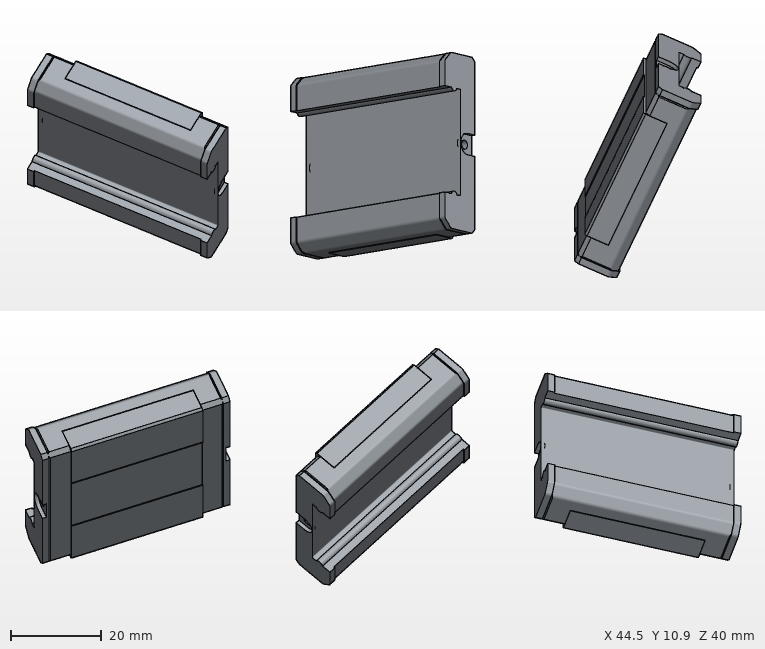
import cadquery as cq

length = 44.5
depth = 10.9
height = 40.0

plate_length = 31.05
plate_wrap = 5.75
plate_side = 0.2
plate_back = 0.6
plate_corner = 0.55
plate_relief_width = 15.58
plate_relief_depth = 0.22

section_depth = depth - plate_back
section_half = height / 2 - plate_side
front_bevel = 2.1
front_round = 1.0
back_bevel = 1.0

channel_half = 11.95
channel_depth = 5.35
channel_corner = 0.22
bead_radius = 1.02
bead_height = 0.65
bead_y = 3.2

cap_length = 1.6
body_length = length - 2 * cap_length
body_setback = 0.3
end_bevel = 0.3

pocket_radius = 2.4
pocket_depth = 0.95
pocket_wall = 0.1
hole_diameter = 2.0
hole_depth = 4.45
hole_y = channel_depth + pocket_wall + pocket_radius


def block(x_length, front, back, z_height):
    """Block centred on X and Z, spanning front to back along Y."""
    middle = (0, (front + back) / 2, 0)
    return cq.Workplane("XY").box(x_length, back - front, z_height).translate(middle)


def section_block(x_length, front):
    """Solid outside of the section: bevelled and rounded in front, bevelled at the back."""
    solid = block(x_length, front, section_depth, 2 * section_half)
    solid = solid.faces("<Y").edges("|X").chamfer(front_bevel)
    solid = solid.faces(">Y").edges("|X").chamfer(back_bevel)
    for side in (-1, 1):
        front_edge = (0, front, side * (section_half - front_bevel))
        outer_edge = (0, front + front_bevel, side * section_half)
        for place in (front_edge, outer_edge):
            solid = solid.edges(cq.selectors.NearestToPointSelector(place)).fillet(front_round)
    return solid


def make_body():
    """Middle section between the caps, its ends bevelled along the top, bottom and back."""
    envelope = block(body_length, 0, section_depth, 2 * section_half)
    envelope = envelope.faces("<X or >X").edges("|Y or (|Z and >Y)").chamfer(end_bevel)
    return section_block(body_length, body_setback).intersect(envelope)


def make_cap(side):
    """End cap at the -X (side = -1) or +X (side = 1) end."""
    return section_block(cap_length, 0).translate((side * (length - cap_length) / 2, 0, 0))


def make_plate():
    """Plate around the back, with a shallow relief along the middle of its back face."""
    plate = block(plate_length, depth - plate_wrap, depth, height)
    plate = plate.faces(">Y").edges("|X").chamfer(plate_corner)
    return plate.cut(block(plate_length, depth - plate_relief_depth, depth, plate_relief_width))


def channel_cut():
    """Channel through the full length, less the bead along each lip."""
    cut = block(length, 0, channel_depth, 2 * channel_half)
    cut = cut.faces(">Y").edges("|X").fillet(channel_corner)
    bead_z = channel_half - bead_height + bead_radius
    beads = (
        cq.Workplane("YZ", origin=(-length / 2, 0, 0))
        .pushPoints([(bead_y, bead_z), (bead_y, -bead_z)])
        .circle(bead_radius)
        .extrude(length)
    )
    return cut.cut(beads)


def pocket_cut(side):
    """U-shaped pocket and screw hole in the -X (side = -1) or +X (side = 1) end."""
    end = cq.Workplane("YZ", origin=(side * length / 2, hole_y, 0))
    inward = -side
    slot_reach = depth - hole_y
    pocket = end.circle(pocket_radius).extrude(inward * pocket_depth)
    slot = end.center(slot_reach / 2, 0).rect(slot_reach, 2 * pocket_radius).extrude(inward * pocket_depth)
    hole = end.circle(hole_diameter / 2).extrude(inward * (pocket_depth + hole_depth))
    return pocket.union(slot).union(hole)


result = make_body().union(make_plate())
for end_side in (-1, 1):
    result = result.union(make_cap(end_side))
result = result.cut(channel_cut())
for end_side in (-1, 1):
    result = result.cut(pocket_cut(end_side))